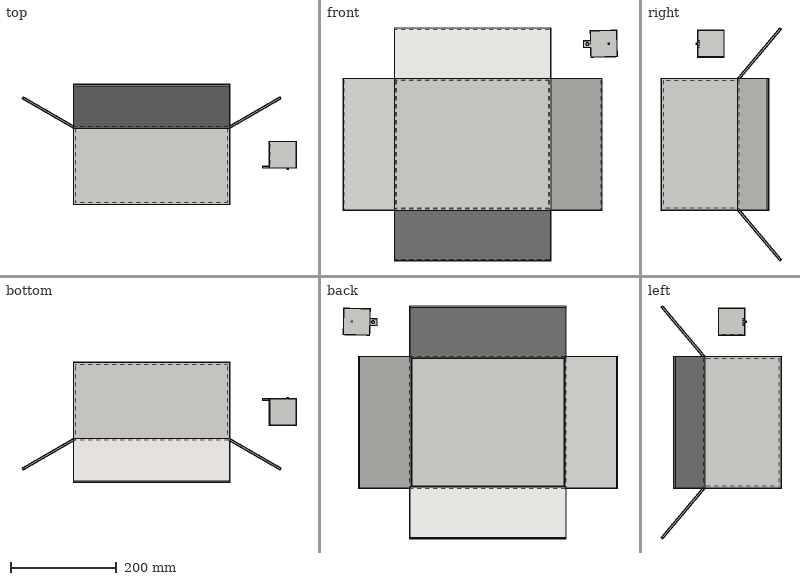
import cadquery as cq
import math

CARTON_WIDTH = 295.5
CARTON_DEPTH = 144.0
CARTON_HEIGHT = 249.5
BOARD = 4.0
SIDE_FLAP_LENGTH = 112.0
SIDE_FLAP_ANGLE = 30
LONG_FLAP_LENGTH = CARTON_HEIGHT / 2
LONG_FLAP_ANGLE = 40

BLOCK_SIZE = 50.5
BLOCK_X = 247.5
BLOCK_FRONT_Y = 69.0
BLOCK_Z = 190.0
BLOCK_TILT = 1.3
TAB_LENGTH = 13.5
TAB_HEIGHT = 13.5
TAB_THICKNESS = 3.5
TAB_HOLE_DIAMETER = 5.0
TAB_HOLE_FROM_BLOCK = 5.5

PIN_DIAMETER = 2.5
PIN_LENGTH = 2.5
PIN_OFFSET_X = 9.5


def make_flap(length, angle, width, half_span):
    """Flap on the +X rim, hinged at X = half_span and centred on Z = 0."""
    cos_a = math.cos(math.radians(angle))
    sin_a = math.sin(math.radians(angle))
    tip = (length * cos_a, length * sin_a)
    inner = (-BOARD * sin_a, BOARD * cos_a)
    profile = [
        (0, 0),
        tip,
        (tip[0] + inner[0], tip[1] + inner[1]),
        inner,
        (-BOARD, 0),
    ]
    flap = cq.Workplane("XY").polyline(profile).close().extrude(width / 2, both=True)
    return flap.translate((half_span, CARTON_DEPTH, 0))


def make_carton():
    carton = cq.Workplane("XY").box(
        CARTON_WIDTH, CARTON_DEPTH, CARTON_HEIGHT, centered=(True, False, True)
    )
    carton = carton.faces(">Y").shell(-BOARD)

    side_flap = make_flap(SIDE_FLAP_LENGTH, SIDE_FLAP_ANGLE, CARTON_HEIGHT, CARTON_WIDTH / 2)
    long_flap = make_flap(LONG_FLAP_LENGTH, LONG_FLAP_ANGLE, CARTON_WIDTH, CARTON_HEIGHT / 2)
    for flap, turn in ((side_flap, 0), (long_flap, 90), (side_flap, 180), (long_flap, 270)):
        carton = carton.union(flap.rotate((0, 0, 0), (0, 1, 0), turn))
    return carton


def place_on_block(body):
    """Move a body from the block's own frame (front face centre at the origin)."""
    tilted = body.rotate((0, 0, 0), (0, 1, 0), -BLOCK_TILT)
    return tilted.translate((BLOCK_X, BLOCK_FRONT_Y, BLOCK_Z))


def make_block():
    block = cq.Workplane("XY").box(
        BLOCK_SIZE, BLOCK_SIZE, BLOCK_SIZE, centered=(True, False, True)
    )
    tab = cq.Workplane("XY").box(
        TAB_LENGTH, TAB_THICKNESS, TAB_HEIGHT, centered=(True, False, True)
    ).translate((-(BLOCK_SIZE + TAB_LENGTH) / 2, 0, 0))
    hole = (
        cq.Workplane("XZ")
        .center(-BLOCK_SIZE / 2 - TAB_HOLE_FROM_BLOCK, 0)
        .circle(TAB_HOLE_DIAMETER / 2)
        .extrude(-TAB_THICKNESS)
    )
    return place_on_block(block.union(tab).cut(hole))


def make_pin():
    pin = cq.Workplane("XZ").center(PIN_OFFSET_X, 0).circle(PIN_DIAMETER / 2).extrude(PIN_LENGTH)
    return place_on_block(pin)


carton = make_carton()
block = make_block()
pin = make_pin()

result = cq.Compound.makeCompound([carton.val(), block.val(), pin.val()])